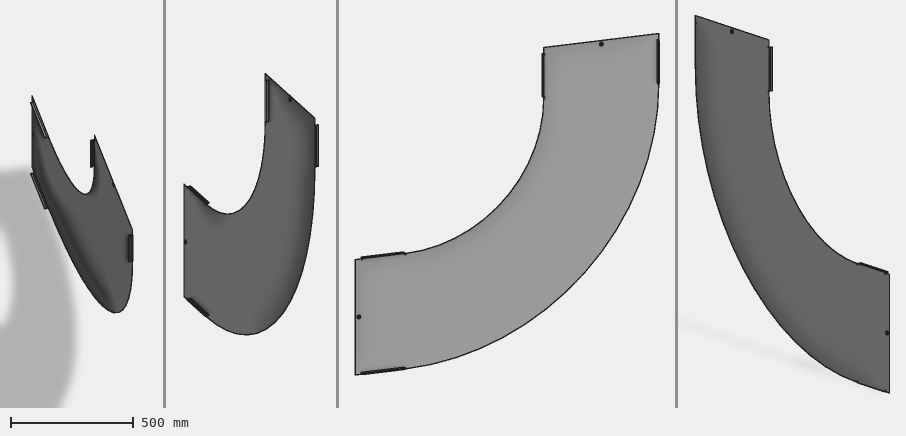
import cadquery as cq
import math

overall = 1320.4
overall_thickness = 17.63
sheet = 1.0
plate_width = 500.0
inner_radius = 600.0
outer_radius = inner_radius + plate_width

flange_offset = 2.0
flange_start = 32.0
flange_length = 184.0
tip_height = 9.0
tip_thickness = 5.0
relief_width = 3.0
relief_depth = 5.0

fastener_diameter = 16.0
fastener_inset = 16.0
head_height = 1.0
tail_height = 0.5
recess_diameter = 8.0
recess_depth = 1.0

outer_edge = overall - flange_offset
inner_edge = outer_edge - plate_width
plate_middle = outer_edge - plate_width / 2
straight_length = outer_edge - outer_radius
flange_depth = overall_thickness - head_height
flange_end = flange_start + flange_length
diagonal = math.sqrt(0.5)


def other_arm(shape):
    """Mirror a shape of the upright arm onto the level arm, across the part's diagonal."""
    flipped = shape.mirror("XY").rotate((0, 0, 0), (0, 1, 0), 90)
    return flipped.translate((overall, 0, overall))


def make_plate():
    """Flat quarter bend with a straight arm at each end."""
    center_x = straight_length
    center_z = overall - straight_length
    inner_z = overall - inner_edge
    outer_z = overall - outer_edge

    def arc_middle(radius):
        return (center_x + radius * diagonal, center_z - radius * diagonal)

    outline = (
        cq.Workplane("XZ")
        .moveTo(0, outer_z)
        .lineTo(center_x, outer_z)
        .threePointArc(arc_middle(outer_radius), (outer_edge, center_z))
        .lineTo(outer_edge, overall)
        .lineTo(inner_edge, overall)
        .lineTo(inner_edge, center_z)
        .threePointArc(arc_middle(inner_radius), (center_x, inner_z))
        .lineTo(0, inner_z)
        .close()
    )
    return outline.extrude(sheet)


def make_flange(edge, outward):
    """Flange hanging beside an upright plate edge, with a tip thickened toward the plate.

    The outward sign is the X direction away from the plate.
    """
    tip_top = tip_height - flange_depth

    def x_at(depth):
        """X position at a depth behind the flange's outer face."""
        return edge + outward * (flange_offset - depth)

    profile = (
        cq.Workplane("XY")
        .moveTo(x_at(flange_offset), 0)
        .lineTo(x_at(0), 0)
        .lineTo(x_at(0), -flange_depth)
        .lineTo(x_at(tip_thickness), -flange_depth)
        .lineTo(x_at(tip_thickness), tip_top)
        .lineTo(x_at(sheet), tip_top)
        .lineTo(x_at(sheet), -sheet)
        .lineTo(x_at(flange_offset), -sheet)
        .close()
    )
    return profile.extrude(flange_length).translate((0, 0, overall - flange_end))


def make_reliefs(edge):
    """Cutters for the slits in an upright plate edge at both ends of a flange."""
    upper_z = overall - flange_start + relief_width / 2
    lower_z = overall - flange_end - relief_width / 2
    slit = cq.Workplane("XY").box(2 * relief_depth, 2 * sheet, relief_width)
    upper = slit.translate((edge, -sheet / 2, upper_z))
    lower = slit.translate((edge, -sheet / 2, lower_z))
    return upper.union(lower)


def make_fastener():
    """Round fastener through the plate at the end of the upright arm, with a recessed tail."""
    length = head_height + sheet + tail_height
    pin = cq.Workplane("XZ").circle(fastener_diameter / 2).extrude(length)
    pin = pin.faces("<Y").workplane().circle(recess_diameter / 2).cutBlind(-recess_depth)
    return pin.translate((plate_middle, head_height, overall - fastener_inset))


def make_fastener_hole():
    """Cutter that clears the plate for the fastener."""
    hole = cq.Workplane("XZ").circle(fastener_diameter / 2).extrude(sheet)
    return hole.translate((plate_middle, 0, overall - fastener_inset))


result = make_plate()
for edge, outward in ((inner_edge, -1), (outer_edge, 1)):
    reliefs = make_reliefs(edge)
    flange = make_flange(edge, outward)
    result = result.cut(reliefs).cut(other_arm(reliefs))
    result = result.union(flange).union(other_arm(flange))

hole = make_fastener_hole()
fastener = make_fastener()
result = result.cut(hole).cut(other_arm(hole))
result = result.union(fastener).union(other_arm(fastener))